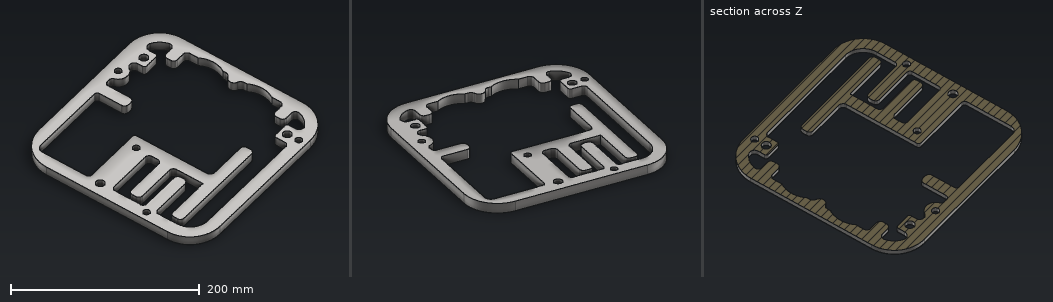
import cadquery as cq
import math

side = 240.0
thickness = 12.0
outer_radius = 40.0
half_side = side / 2
arc_centre = half_side - outer_radius

wall = 15.5
top_wall = 13.6
inner = half_side - wall
inner_top = half_side - top_wall
pocket_radius = 25.8

lobe_x = 32.3
lobe_radius = 32.0
lobe_top = 111.0
nub_bottom = 98.1
nub_radius = 7.0

bar_width = 15.0
boss_radius = 12.5

post_x = 72.2
post_end = 86.0

pad_inner = 85.2
pad_bottom = 61.1
pad_top = 84.3

left_finger_y = 8.7
left_finger_tip = -65.8

stem_left = -34.8
stem_right = -5.1
beam_top = -25.2
beam_bottom = beam_top - bar_width
right_bar_x = 74.8
right_bar_top = 31.0
hanging_x = 19.7
hanging_end = -98.2
standing_x = 45.0
standing_tip = -46.5

small_hole = 8.0
large_hole = 10.2
boss_hole = (-105.0, 40.1)
small_holes = [boss_hole, (110.0, 72.5), (-21.0, -40.0), (standing_x, -110.0)]
large_holes = [(-95.0, 72.2), (95.0, 72.2), (-20.0, -105.0)]

crisp_radius = 3.3
root_radius = 4.0
tip_radius = 5.0
wide_radius = 6.0
notch_radius = 5.7
lower_left_radius = 7.5
lower_right_radius = 23.5

half_bar = bar_width / 2
rim = half_side - wall / 2
post_outer = post_x + half_bar
post_inner = post_x - half_bar


def box(x_min, x_max, y_min, y_max):
    """Full-thickness block between the given limits."""
    block = cq.Workplane("XY").box(x_max - x_min, y_max - y_min, thickness, centered=False)
    return block.translate((x_min, y_min, 0))


def disc(x, y, radius):
    """Full-thickness round block."""
    return cq.Workplane("XY").center(x, y).circle(radius).extrude(thickness)


def make_opening():
    """Sharp-cornered opening, before anything is added back into it."""
    opening = box(-inner, inner, -inner, arc_centre)
    opening = opening.union(box(-post_x, post_x, 0, inner_top))
    for sign in (-1, 1):
        opening = opening.union(disc(sign * arc_centre, arc_centre, pocket_radius))
        opening = opening.union(disc(sign * lobe_x, lobe_top - lobe_radius, lobe_radius))
    return opening


def make_frame():
    """Rounded square plate with the opening cut through it."""
    plate = box(-half_side, half_side, -half_side, half_side)
    plate = plate.edges("|Z").fillet(outer_radius)
    return plate.cut(make_opening())


def add_upper_details(body):
    """Pads in the upper corners, posts under the upper wall and the central nub."""
    for sign in (-1, 1):
        pad_limits = sorted((sign * pad_inner, sign * rim))
        body = body.union(box(*pad_limits, pad_bottom, pad_top))
        post_limits = sorted((sign * post_inner, sign * post_outer))
        body = body.union(box(*post_limits, post_end, rim))
    return body.union(disc(0, nub_bottom + nub_radius, nub_radius))


def add_boss(body):
    """Side boss, with a round notch tangent to both the boss and the pad above it."""
    boss_x, boss_y = boss_hole
    notch_y = pad_bottom - notch_radius
    notch_x = boss_x + math.sqrt((boss_radius + notch_radius) ** 2 - (notch_y - boss_y) ** 2)
    web_points = [(boss_x, boss_y), (notch_x, notch_y), (notch_x, pad_bottom), (boss_x, pad_bottom)]
    web = cq.Workplane("XY").polyline(web_points).close().extrude(thickness)
    web = web.cut(disc(notch_x, notch_y, notch_radius))
    return body.union(disc(boss_x, boss_y, boss_radius)).union(web)


def bulged_finger(length):
    """Finger along +X whose round end reaches X = 0."""
    bar = box(-length, 0, -half_bar, half_bar)
    shank = box(-length, -boss_radius, -half_bar, half_bar)
    return shank.union(bar.intersect(disc(-boss_radius, 0, boss_radius)))


def add_fingers(body):
    """Left finger and the branched set of bars rising from the lower wall."""
    left_finger = bulged_finger(left_finger_tip + rim).translate((left_finger_tip, left_finger_y, 0))
    standing = bulged_finger(standing_tip + rim).rotate((0, 0, 0), (0, 0, 1), 90)
    standing = standing.translate((standing_x, standing_tip, 0))
    bars = [
        left_finger,
        standing,
        box(stem_left, stem_right, -rim, beam_top),
        box(stem_left, right_bar_x, beam_bottom, beam_top),
        box(right_bar_x - half_bar, right_bar_x + half_bar, hanging_end, right_bar_top),
        box(hanging_x - half_bar, hanging_x + half_bar, hanging_end, beam_top),
    ]
    for bar in bars:
        body = body.union(bar)
    return body


def round_corners(body, radius, corners):
    """Fillet the upright edges standing at the given corners."""
    edges = []
    for x, y in corners:
        edges += body.edges("|Z").edges(cq.NearestToPointSelector((x, y, thickness / 2))).vals()
    return body.newObject(edges).fillet(radius)


def mirrored(points):
    """The points together with their mirror images across X = 0."""
    return points + [(-x, y) for x, y in points]


def round_all(body):
    """Round the corners of the opening, one radius at a time."""
    pocket_x = arc_centre + math.sqrt(pocket_radius**2 - (pad_top - arc_centre) ** 2)
    pocket_y = arc_centre + math.sqrt(pocket_radius**2 - (post_outer - arc_centre) ** 2)
    nub_x = math.sqrt(nub_radius**2 - (nub_bottom + nub_radius - inner_top) ** 2)
    bulge_depth = boss_radius - math.sqrt(boss_radius**2 - half_bar**2)
    finger_shoulder = left_finger_tip - bulge_depth
    standing_shoulder = standing_tip - bulge_depth
    boss_foot = boss_hole[1] - math.sqrt(boss_radius**2 - (inner + boss_hole[0]) ** 2)
    finger_top = left_finger_y + half_bar
    finger_bottom = left_finger_y - half_bar
    hanging_left = hanging_x - half_bar
    hanging_right = hanging_x + half_bar
    standing_left = standing_x - half_bar
    standing_right = standing_x + half_bar
    bar_left = right_bar_x - half_bar
    bar_right = right_bar_x + half_bar

    crisp = mirrored([(pad_inner, pad_top), (pad_inner, pad_bottom)])
    crisp += [(stem_left, beam_top)]

    root = [(inner, pad_bottom), (-inner, finger_bottom), (-inner, finger_top), (-inner, boss_foot)]
    root += [(x, -inner) for x in (stem_left, stem_right, standing_left, standing_right)]

    tip = mirrored([(post_inner, post_end), (post_outer, post_end)])
    tip += [(x, hanging_end) for x in (hanging_left, hanging_right, bar_left, bar_right)]
    tip += [(bar_left, right_bar_top), (bar_right, right_bar_top)]
    tip += [(x, beam_bottom) for x in (stem_right, hanging_left, hanging_right)]
    tip += mirrored([(post_inner, inner_top), (post_outer, pocket_y)])
    tip += [(finger_shoulder, finger_top), (finger_shoulder, finger_bottom)]
    tip += [(standing_left, standing_shoulder), (standing_right, standing_shoulder)]

    wide = mirrored([(pocket_x, pad_top), (nub_x, inner_top)])
    wide += [(bar_left, beam_top)]

    body = round_corners(body, crisp_radius, crisp)
    body = round_corners(body, root_radius, root)
    body = round_corners(body, tip_radius, tip)
    body = round_corners(body, wide_radius, wide)
    body = round_corners(body, lower_left_radius, [(-inner, -inner)])
    return round_corners(body, lower_right_radius, [(inner, -inner)])


def drill(body):
    """Cut the round through holes."""
    for diameter, centres in ((small_hole, small_holes), (large_hole, large_holes)):
        for x, y in centres:
            body = body.cut(disc(x, y, diameter / 2))
    return body


frame = make_frame()
frame = add_upper_details(frame)
frame = add_boss(frame)
frame = add_fingers(frame)
frame = round_all(frame)
result = drill(frame)